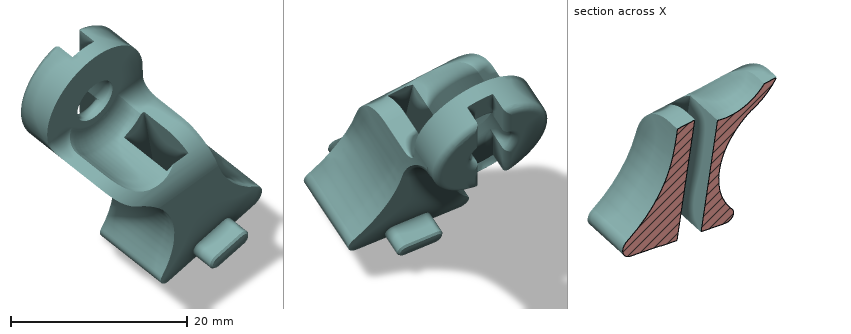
import cadquery as cq
import math


HUB_RADIUS = 7.5
HUB_THICKNESS = 4.8
HOLE_DIAMETER = 5.5
EDGE_ROUND = 0.8
RIM_SEAM_ANGLE = 200
SLOT_WIDTH = 3.42
SLOT_DEPTH = 2.9
SLOT_OVERRUN = 0.03

ARM_FRONT = 6.0
ARM_WIDTH = 10.0
ARM_BACK = ARM_FRONT + ARM_WIDTH
SHOULDER_Z = -3.75
SHOULDER_ROUND = 2.0
BEND_RADIUS = 5.0
NECK_RADIUS = 4.02
NECK_STEP = 0.05
NECK_START = ARM_FRONT - NECK_RADIUS
RECESS_RADIUS = 6.0

FOOT_TILT = 10.7
HEEL_CENTRE = (14.03, -18.4)
HEEL_RADIUS = 1.5
HEEL_TANGENT_ANGLE = 62
TOE_CENTRE = (0.7, -21.43)
TOE_RADIUS = 1.05
TOE_TANGENT_ANGLE = 145
BACK_UPPER_MIDDLE = (7.7, -3.6)
BACK_JOINT = (8.35, -7.55)
BACK_LOWER_MIDDLE = (10.37, -12.6)
FRONT_MIDDLE = (1.77, -14.85)
FRONT_JOINT_ANGLE = 247.7

PIN_LENGTH = 3.0
PIN_SPAN = 6.05
PIN_HEIGHT = 2.05
PIN_CHAMFER = 0.25
PIN_CENTRE = (7.73, -20.17)

WINDOW_X = 7.45
WINDOW_LENGTH = 7.07
WINDOW_WIDTH = 3.42
WINDOW_TILT = 8.3
WINDOW_Y = 3.45

CLEAR = 35.95


def on_circle(centre, radius, angle):
    """Point on a circle at an angle in degrees from the first axis."""
    turn = math.radians(angle)
    return centre[0] + radius * math.cos(turn), centre[1] + radius * math.sin(turn)


def flared_bore(start):
    """Cutter that rounds the rim of the bore in the flat face at x = start."""
    bore = HOLE_DIAMETER / 2
    turn = math.radians(45)
    return (
        cq.Workplane("XY")
        .moveTo(start, 0)
        .lineTo(start, bore + EDGE_ROUND)
        .threePointArc(
            (start + EDGE_ROUND * (1 - math.cos(turn)), bore + EDGE_ROUND * (1 - math.sin(turn))),
            (start + EDGE_ROUND, bore),
        )
        .lineTo(start + EDGE_ROUND, 0)
        .close()
        .revolve(360, (0, 0, 0), (1, 0, 0))
    )


def make_slot():
    """Full-height slot across the hub face, with rounded mouth edges."""
    half = SLOT_WIDTH / 2
    inset = EDGE_ROUND * (1 - math.sqrt(0.5))
    return (
        cq.Workplane("XY", origin=(0, 0, -CLEAR / 2))
        .moveTo(0, -half - EDGE_ROUND)
        .threePointArc((inset, -half - inset), (EDGE_ROUND, -half))
        .lineTo(SLOT_DEPTH, -half)
        .lineTo(SLOT_DEPTH, half)
        .lineTo(EDGE_ROUND, half)
        .threePointArc((inset, half + inset), (0, half + EDGE_ROUND))
        .close()
        .extrude(CLEAR)
    )


def make_hub_disc():
    hub = cq.Workplane("YZ").circle(HUB_RADIUS).extrude(HUB_THICKNESS)
    hub = hub.rotate((0, 0, 0), (1, 0, 0), RIM_SEAM_ANGLE)
    hub = hub.faces("<X").edges().fillet(EDGE_ROUND)
    return hub


def make_hub_slot():
    """Cross slot, held to the hub radius so that it leaves the neck whole."""
    reach = cq.Workplane("YZ").circle(HUB_RADIUS + SLOT_OVERRUN).extrude(HUB_THICKNESS)
    return make_slot().intersect(reach)


def make_hub_bore():
    """Through hole with rounded rims on the hub face and on the slot floor."""
    slot_band = cq.Workplane("XY").box(CLEAR, SLOT_WIDTH, CLEAR)
    bore = cq.Workplane("YZ").circle(HOLE_DIAMETER / 2).extrude(HUB_THICKNESS)
    return bore.union(flared_bore(0)).union(flared_bore(SLOT_DEPTH).intersect(slot_band))


def make_side_outline():
    """Arm outline below the hub axis in the YZ plane, extruded from the neck to the back."""
    foot_normal = FOOT_TILT - 90
    heel_top = on_circle(HEEL_CENTRE, HEEL_RADIUS, HEEL_TANGENT_ANGLE)
    heel_side = on_circle(HEEL_CENTRE, HEEL_RADIUS, 0)
    heel_bottom = on_circle(HEEL_CENTRE, HEEL_RADIUS, foot_normal)
    toe_bottom = on_circle(TOE_CENTRE, TOE_RADIUS, foot_normal)
    toe_side = on_circle(TOE_CENTRE, TOE_RADIUS, 210)
    toe_top = on_circle(TOE_CENTRE, TOE_RADIUS, TOE_TANGENT_ANGLE)
    return (
        cq.Workplane("YZ", origin=(NECK_START, 0, 0))
        .moveTo(HUB_RADIUS, 0)
        .threePointArc(BACK_UPPER_MIDDLE, BACK_JOINT)
        .threePointArc(BACK_LOWER_MIDDLE, heel_top)
        .threePointArc(heel_side, heel_bottom)
        .lineTo(*toe_bottom)
        .threePointArc(toe_side, toe_top)
        .threePointArc(FRONT_MIDDLE, on_circle((0, 0), HUB_RADIUS, FRONT_JOINT_ANGLE))
        .threePointArc(on_circle((0, 0), HUB_RADIUS, 210), (-HUB_RADIUS, 0))
        .close()
        .extrude(ARM_BACK - NECK_START)
    )


def make_crank_profile():
    """Shape kept in the XZ plane: hub, rounded shoulder, then the bend down the back."""
    corner = (HUB_THICKNESS + SHOULDER_ROUND, SHOULDER_Z + SHOULDER_ROUND)
    bend = (ARM_BACK - BEND_RADIUS, SHOULDER_Z - BEND_RADIUS)
    return (
        cq.Workplane("XZ", origin=(0, CLEAR / 2, 0))
        .moveTo(0, HUB_RADIUS)
        .lineTo(HUB_THICKNESS, HUB_RADIUS)
        .lineTo(HUB_THICKNESS, corner[1])
        .threePointArc(on_circle(corner, SHOULDER_ROUND, 225), (corner[0], SHOULDER_Z))
        .lineTo(bend[0], SHOULDER_Z)
        .threePointArc(on_circle(bend, BEND_RADIUS, 45), (ARM_BACK, bend[1]))
        .lineTo(ARM_BACK, -CLEAR)
        .lineTo(0, -CLEAR)
        .close()
        .extrude(CLEAR)
    )


def make_neck_clearance():
    """Space around the hub in front of the arm, ending in a rounded neck."""
    inner = HUB_RADIUS + NECK_STEP
    centre = (NECK_START, inner + NECK_RADIUS)
    return (
        cq.Workplane("XY")
        .moveTo(0, inner)
        .lineTo(NECK_START, inner)
        .threePointArc(on_circle(centre, NECK_RADIUS, -45), (ARM_FRONT, centre[1]))
        .lineTo(ARM_FRONT, CLEAR)
        .lineTo(0, CLEAR)
        .close()
        .revolve(360, (0, 0, 0), (1, 0, 0))
    )


def make_recess():
    """Round recess behind the hub, hollowing the top of the shoulder."""
    recess = cq.Workplane("YZ", origin=(HUB_THICKNESS, 0, 0)).circle(RECESS_RADIUS).extrude(CLEAR)
    return recess.faces("<X").edges().fillet(SHOULDER_ROUND)


def make_window():
    window = cq.Workplane("XY").box(WINDOW_LENGTH, WINDOW_WIDTH, 2 * CLEAR)
    window = window.rotate((0, 0, 0), (1, 0, 0), WINDOW_TILT)
    return window.translate((WINDOW_X + WINDOW_LENGTH / 2, WINDOW_Y, SHOULDER_Z))


def make_pins():
    """One obround bar through the foot, standing out equally on both sides."""
    pins = (
        cq.Workplane("YZ", origin=(ARM_FRONT - PIN_LENGTH, *PIN_CENTRE))
        .slot2D(PIN_SPAN, PIN_HEIGHT, FOOT_TILT)
        .extrude(ARM_WIDTH + 2 * PIN_LENGTH)
    )
    return pins.faces("<X or >X").edges().chamfer(PIN_CHAMFER)


arm = make_side_outline().intersect(make_crank_profile())
arm = arm.cut(make_neck_clearance()).cut(make_recess())
body = arm.union(make_hub_disc())
body = body.cut(make_hub_slot()).cut(make_hub_bore())
result = body.union(make_pins()).cut(make_window())